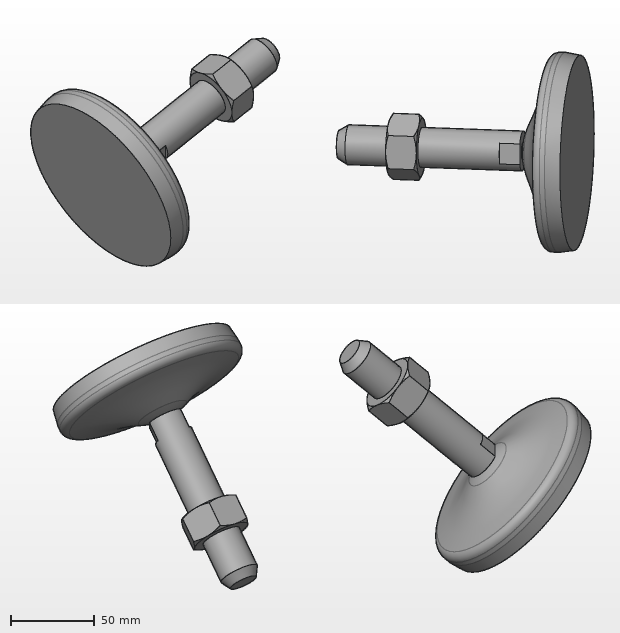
import cadquery as cq
import math

total_length = 145.0

pad_radius = 120.0 / 2
sole_radius = 58.6
draft_top = 9.1
rim_start = 12.3
rim_end = 17.3
rim_end_radius = 55.8
flank_mid_radius = 35.4
flank_mid_height = 21.6
crown_edge_radius = 16.0
crown_edge_height = 29.5
pad_height = 32.0

neck_radius = 10.0 / 2
stud_radius = 24.0 / 2
stud_start = 33.0
tip_radius = 8.5
tip_length = 6.0
wrench_width = 20.5
wrench_length = 12.2

nut_across_flats = 35.1
nut_height = 18.7
nut_start = 94.7
nut_chamfer_angle = 30.0


def make_pad():
    """Domed pad with a concave flank, rounded rim and tapered wall."""
    crown_start = (neck_radius, pad_height)
    crown_edge = (crown_edge_radius, crown_edge_height)
    return (
        cq.Workplane("XY")
        .lineTo(sole_radius, 0)
        .lineTo(pad_radius, draft_top)
        .lineTo(pad_radius, rim_start)
        .tangentArcPoint((rim_end_radius, rim_end), relative=False)
        .threePointArc((flank_mid_radius, flank_mid_height), crown_edge)
        .threePointArc(dome_midpoint(crown_start, crown_edge), crown_start)
        .lineTo(0, pad_height)
        .close()
        .revolve(360, (0, 0, 0), (0, 1, 0))
    )


def dome_midpoint(start, end):
    """Middle of the arc that leaves start horizontally and drops to end."""
    run = end[0] - start[0]
    drop = start[1] - end[1]
    radius = (run**2 + drop**2) / (2 * drop)
    half_sweep = math.asin(run / radius) / 2
    return (
        start[0] + radius * math.sin(half_sweep),
        start[1] - radius * (1 - math.cos(half_sweep)),
    )


def make_stud():
    """Round stud with a narrow neck, tapered tip and two wrench flats."""
    stud = (
        cq.Workplane("XY")
        .lineTo(neck_radius, 0)
        .lineTo(neck_radius, stud_start)
        .lineTo(stud_radius, stud_start)
        .lineTo(stud_radius, total_length - tip_length)
        .lineTo(tip_radius, total_length)
        .lineTo(0, total_length)
        .close()
        .revolve(360, (0, 0, 0), (0, 1, 0))
    )
    flat_depth = stud_radius - wrench_width / 2
    for side in (-1, 1):
        flat_cut = cq.Workplane("XY").box(flat_depth, wrench_length, 2 * stud_radius).translate(
            (side * (wrench_width + flat_depth) / 2, stud_start + wrench_length / 2, 0)
        )
        stud = stud.cut(flat_cut)
    return stud


def make_nut():
    """Hex nut with corners on +Z and -Z, chamfered at both ends."""
    flat_radius = nut_across_flats / 2
    corner_radius = flat_radius / math.cos(math.pi / 6)
    chamfer_depth = (corner_radius - flat_radius) * math.tan(math.radians(nut_chamfer_angle))
    hexagon = (
        cq.Workplane("XY")
        .polygon(6, 2 * corner_radius)
        .extrude(nut_height)
        .rotate((0, 0, 0), (0, 0, 1), 90)
        .rotate((0, 0, 0), (1, 0, 0), -90)
    )
    chamfer_envelope = (
        cq.Workplane("XY")
        .lineTo(flat_radius, 0)
        .lineTo(corner_radius, chamfer_depth)
        .lineTo(corner_radius, nut_height - chamfer_depth)
        .lineTo(flat_radius, nut_height)
        .lineTo(0, nut_height)
        .close()
        .revolve(360, (0, 0, 0), (0, 1, 0))
    )
    return hexagon.intersect(chamfer_envelope).translate((0, nut_start, 0))


result = make_pad().union(make_stud()).union(make_nut())